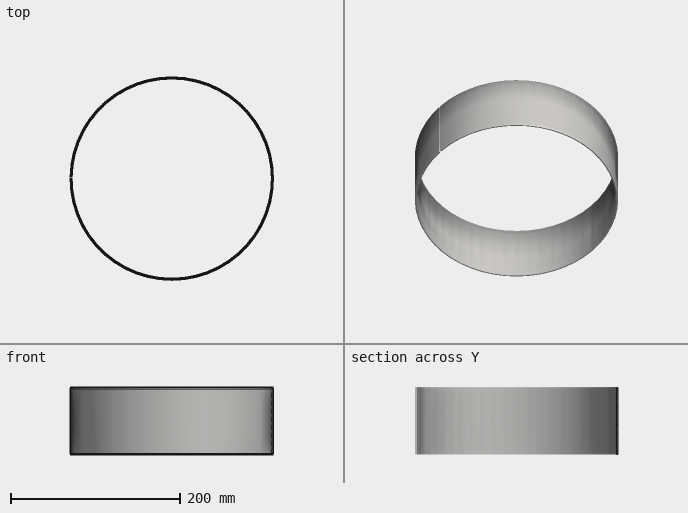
import cadquery as cq

outer_diameter = 240.0
height = 80.0
wall = 2.5
outer_bevel_height = 2.0
outer_bevel_depth = 0.7
inner_chamfer = 0.5
gap_width = 2.0

outer_radius = outer_diameter / 2
inner_radius = outer_radius - wall


def make_band():
    """Thin band around the Z axis: steep bevels outside, small chamfers inside."""
    rim_outer_radius = outer_radius - outer_bevel_depth
    rim_inner_radius = inner_radius + inner_chamfer
    profile = [
        (rim_inner_radius, 0),
        (rim_outer_radius, 0),
        (outer_radius, outer_bevel_height),
        (outer_radius, height - outer_bevel_height),
        (rim_outer_radius, height),
        (rim_inner_radius, height),
        (inner_radius, height - inner_chamfer),
        (inner_radius, inner_chamfer),
    ]
    section = cq.Workplane("XZ").polyline(profile).close()
    return section.revolve(360, (0, 0, 0), (0, 1, 0))


def make_gap():
    """Full-height cutter that splits the band at -X, with one face on the XZ plane."""
    cutter_length = 4 * wall
    return (
        cq.Workplane("XY")
        .center(-outer_radius, gap_width / 2)
        .rect(cutter_length, gap_width)
        .extrude(height)
    )


result = make_band().cut(make_gap())